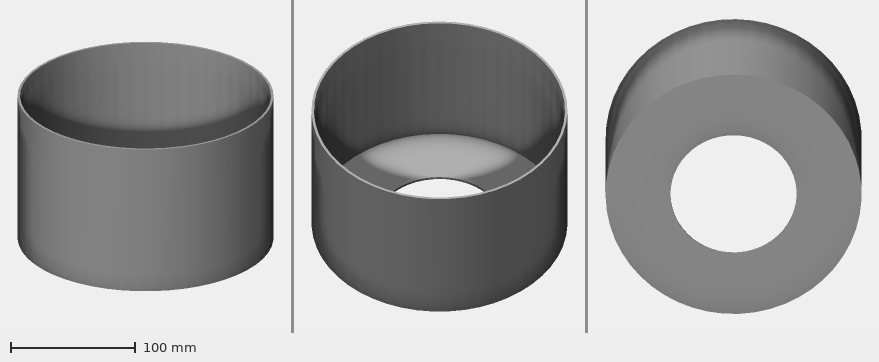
import cadquery as cq

outer_diameter = 205.0
height = 125.0
wall_thickness = 2.0
floor_thickness = 2.0
floor_hole_diameter = 101.0

inner_diameter = outer_diameter - 2 * wall_thickness

cup = cq.Workplane("XY").circle(outer_diameter / 2).extrude(height)
cavity = (
    cq.Workplane("XY")
    .workplane(offset=floor_thickness)
    .circle(inner_diameter / 2)
    .extrude(height - floor_thickness)
)

floor_hole = cq.Workplane("XY").circle(floor_hole_diameter / 2).extrude(floor_thickness)

result = cup.cut(cavity).cut(floor_hole)